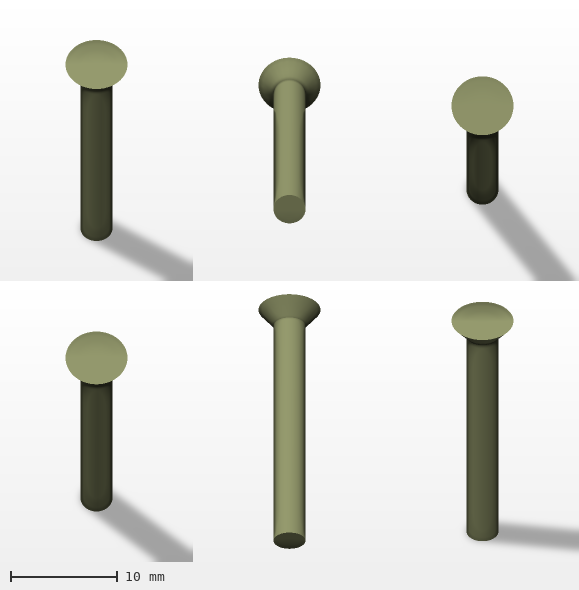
import cadquery as cq

total_length = 25.0
head_diameter = 5.8
shank_diameter = 3.0
head_height = 1.7

head_radius = head_diameter / 2
shank_radius = shank_diameter / 2
head_base = total_length - head_height

half_section = (
    cq.Workplane("XZ")
    .moveTo(0, 0)
    .lineTo(shank_radius, 0)
    .lineTo(shank_radius, head_base)
    .lineTo(head_radius, total_length)
    .lineTo(0, total_length)
    .close()
)

result = half_section.revolve(360, (0, 0, 0), (0, 1, 0))